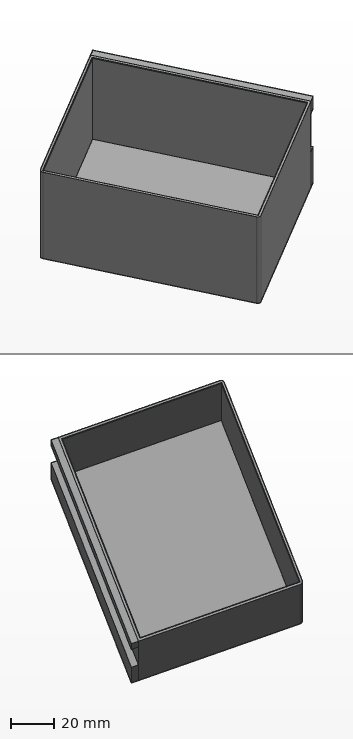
import cadquery as cq

LENGTH = 106.0
DEPTH = 84.5
HEIGHT = 55.0

WALL = 1.5
FLOOR = 3.3
CORNER_RADIUS = 1.6
RIM_CHAMFER = 0.3

RAIL_THICKNESS = 3.5
UPPER_RAIL_HEIGHT = 8.0
LOWER_RAIL_HEIGHT = 22.0
LOWER_RAIL_RISE = 0.8

TRAY_DEPTH = DEPTH - RAIL_THICKNESS


def make_tray():
    """Open box with rounded front corners and a chamfer around the inside of the rim."""
    block = cq.Workplane("XY").box(LENGTH, TRAY_DEPTH, HEIGHT, centered=False)
    block = block.edges("|Z and <Y").fillet(CORNER_RADIUS)
    cavity = (
        cq.Workplane("XY", origin=(WALL, WALL, FLOOR))
        .box(LENGTH - 2 * WALL, TRAY_DEPTH - 2 * WALL, HEIGHT - FLOOR, centered=False)
    )
    rim_flare = (
        cq.Workplane("XY", origin=(LENGTH / 2, TRAY_DEPTH / 2, HEIGHT - RIM_CHAMFER))
        .rect(LENGTH - 2 * WALL, TRAY_DEPTH - 2 * WALL)
        .workplane(offset=RIM_CHAMFER)
        .rect(LENGTH - 2 * (WALL - RIM_CHAMFER), TRAY_DEPTH - 2 * (WALL - RIM_CHAMFER))
        .loft(ruled=True)
    )
    return block.cut(cavity).cut(rim_flare)


def make_rail(outline):
    """Bar behind the tray, from an outline of (x, z) points."""
    return cq.Workplane("XZ", origin=(0, DEPTH, 0)).polyline(outline).close().extrude(RAIL_THICKNESS)


def make_upper_rail():
    """Level bar flush with the rim."""
    underside = HEIGHT - UPPER_RAIL_HEIGHT
    return make_rail([(0, underside), (LENGTH, underside), (LENGTH, HEIGHT), (0, HEIGHT)])


def make_lower_rail():
    """Bar flush with the base, its top sloping up toward +X."""
    high_end = LOWER_RAIL_HEIGHT + LOWER_RAIL_RISE
    return make_rail([(0, 0), (LENGTH, 0), (LENGTH, high_end), (0, LOWER_RAIL_HEIGHT)])


tray = make_tray()
upper_rail = make_upper_rail()
lower_rail = make_lower_rail()

result = cq.Compound.makeCompound([tray.val(), upper_rail.val(), lower_rail.val()])